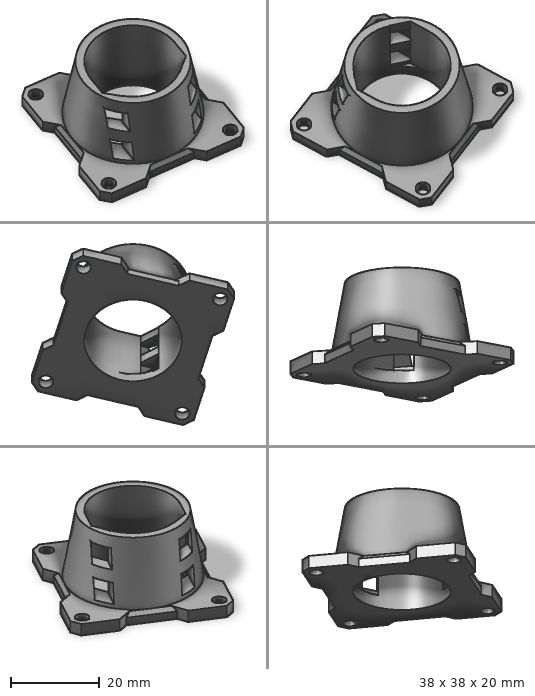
import cadquery as cq

side = 38.0
half = side / 2
flange_height = 3.0
corner_chamfer = 2.0
ear_inner_edge = 7.98
waist = 16.0
rail_reach = 17.0
rail_bevel = rail_reach - waist
hole_offset = 16.0
hole_diameter = 3.3

total_height = 20.0
base_radius = 16.0
top_radius = 13.0
bore_radius = 22.0 / 2

pocket_corner = 4.9
pocket_end_x = 8.15
pocket_end_y = 7.55
pocket_floor = flange_height

window_near = 7.95
window_far = 11.65
window_height = 5.0
window_bottoms = (4.0, 12.0)


def make_flange():
    """Square plate with notched sides and a bevelled rail in each notch."""
    flange = cq.Workplane("XY").box(side, side, flange_height, centered=(True, True, False))
    flange = flange.edges("|Z").chamfer(corner_chamfer)
    notch_depth = half - waist
    notch_inner = ear_inner_edge - notch_depth
    notch = (
        cq.Workplane("XY")
        .polyline([
            (-ear_inner_edge, half),
            (-notch_inner, waist),
            (notch_inner, waist),
            (ear_inner_edge, half),
        ])
        .close()
        .extrude(flange_height)
    )
    for turn in range(4):
        flange = flange.cut(notch.rotate((0, 0, 0), (0, 0, 1), 90 * turn))
    rails = (
        cq.Workplane("XY")
        .box(2 * rail_reach, 2 * rail_reach, flange_height, centered=(True, True, False))
        .faces(">Z").edges().chamfer(rail_bevel)
    )
    span = 2 * ear_inner_edge - 2 * (half - rail_reach)
    along_x = cq.Workplane("XY").box(span, side, side)
    along_y = cq.Workplane("XY").box(side, span, side)
    return flange.union(rails.intersect(along_x.union(along_y)))


def make_cone():
    """Solid tapered body standing on the flange."""
    return (
        cq.Workplane("XZ")
        .polyline([
            (0, flange_height),
            (base_radius, flange_height),
            (top_radius, total_height),
            (0, total_height),
        ])
        .close()
        .revolve(360, (0, 0), (0, 1))
    )


def make_pocket():
    """Relief pocket on the +Y side of the bore, open at the top."""
    return (
        cq.Workplane("XY", origin=(0, 0, pocket_floor))
        .polyline([(0, 0), (0, bore_radius), (pocket_corner, bore_radius), (pocket_end_x, pocket_end_y)])
        .close()
        .extrude(total_height - pocket_floor)
    )


def make_window(bottom):
    """Window on the +Y side, cut outwards along X from the slanted pocket side."""
    lead_in = window_near - pocket_end_y
    return (
        cq.Workplane("XY", origin=(0, 0, bottom))
        .polyline([
            (pocket_corner, bore_radius),
            (pocket_end_x, pocket_end_y),
            (pocket_end_x + lead_in, window_near),
            (half, window_near),
            (half, window_far),
            (pocket_corner, window_far),
        ])
        .close()
        .extrude(window_height)
    )


result = make_flange().union(make_cone())
result = result.cut(cq.Workplane("XY").circle(bore_radius).extrude(total_height))
holes = (
    cq.Workplane("XY")
    .rect(2 * hole_offset, 2 * hole_offset, forConstruction=True)
    .vertices()
    .circle(hole_diameter / 2)
    .extrude(flange_height)
)
result = result.cut(holes)

cutters = [make_pocket()] + [make_window(bottom) for bottom in window_bottoms]
for cutter in cutters:
    result = result.cut(cutter).cut(cutter.mirror("XZ"))